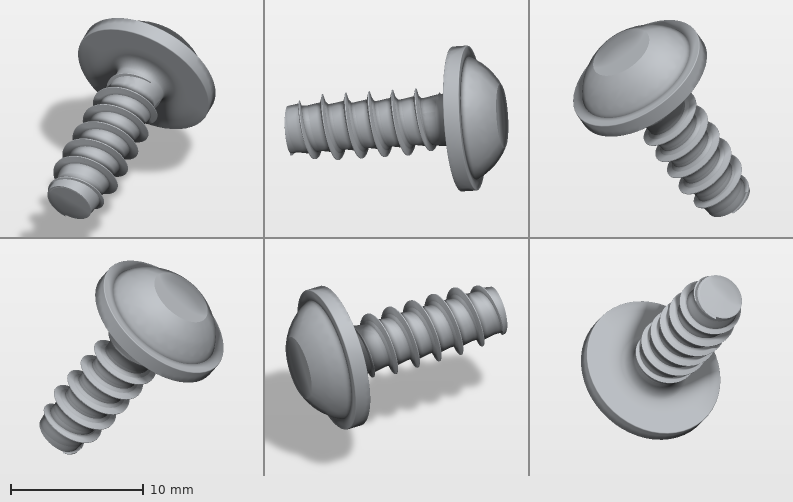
import cadquery as cq
import math


CYLINDER_ANGLE = 360.0

total_length = 16.5
flange_radius = 5.503
flange_bottom = 12.99
flange_top = 14.2
flange_edge_fillet = 0.07
dome_base_radius = 4.67
dome_top_radius = 2.45
dome_mid_radius = 3.76
dome_mid_height = 15.55
shank_radius = 1.98
shank_bottom = 11.75
shank_taper_length = 1.12
taper_sink = 0.05
neck_fillet = 0.7

core_radius = 1.77
tip_rim_radius = 1.7
tip_cone_height = 0.05
tip_chamfer_height = 0.02
core_bottom = tip_cone_height + tip_chamfer_height

pitch = 1.8
crest_radius = 2.52
crest_half_width = 0.03
thread_start = 2.7
full_turns = 4
runout_drop = 0.4
head_runout_turns = 1.1
tip_runout_turns = 1.3
tooth_sink = 0.66

head_foot = 0.38
head_kink = 0.18
head_kink_radius = 2.01
tip_foot = 0.21
tip_foot_radius = 1.93

ramp_length = 1.17
ramp_peak_radius = 1.96
ramp_sink = 0.07
ramp_turns_below = 2
ramp_turns_above = 2


def make_head_and_core():
    neck_outer_radius = shank_radius + neck_fillet
    arc_offset = neck_fillet * (1 - math.sqrt(0.5))
    profile = (
        cq.Workplane("XZ")
        .moveTo(0, 0)
        .lineTo(tip_rim_radius, tip_cone_height)
        .lineTo(core_radius, core_bottom)
        .lineTo(core_radius, shank_bottom)
        .lineTo(shank_radius, shank_bottom)
        .lineTo(shank_radius, flange_bottom - neck_fillet)
        .threePointArc(
            (shank_radius + arc_offset, flange_bottom - arc_offset),
            (neck_outer_radius, flange_bottom),
        )
        .lineTo(flange_radius, flange_bottom)
        .lineTo(flange_radius, flange_top)
        .lineTo(dome_base_radius, flange_top)
        .threePointArc((dome_mid_radius, dome_mid_height), (dome_top_radius, total_length))
        .lineTo(0, total_length)
        .close()
    )
    body = profile.revolve(360, (0, 0, 0), (0, 1, 0))
    flange_rim = cq.selectors.RadiusNthSelector(-1)
    return body.edges(flange_rim).fillet(flange_edge_fillet)


def make_shank_taper():
    """Cone that runs from the shank down into the core."""
    taper_slope = (shank_radius - core_radius) / shank_taper_length
    buried_radius = core_radius - taper_sink
    buried_depth = shank_taper_length + taper_sink / taper_slope
    return (
        cq.Workplane("XZ")
        .polyline([(0, shank_bottom), (shank_radius, shank_bottom),
                   (buried_radius, shank_bottom - buried_depth), (0, shank_bottom - buried_depth)])
        .close()
        .revolve(360, (0, 0, 0), (0, 1, 0))
    )


def sweep_helix(points, turns, path_radius, cone_angle=CYLINDER_ANGLE):
    """Sweep a (radius, height) outline up a right-hand helix that starts on +X at height 0."""
    slant = math.cos(math.radians(cone_angle))
    path = cq.Wire.makeHelix(pitch / slant, turns * pitch / slant, path_radius, angle=cone_angle)
    outline = cq.Workplane("XZ").polyline(points).close()
    return outline.sweep(cq.Workplane(obj=path), isFrenet=True)


def tooth_outline(drop=0.0, head_side=1):
    """Tooth section lowered by drop; head_side is -1 to turn it upside down."""
    root = core_radius - tooth_sink
    fillet_slope = (head_foot - head_kink) / (head_kink_radius - core_radius)
    points = [
        (root, head_foot + fillet_slope * tooth_sink),
        (head_kink_radius, head_kink),
        (crest_radius, crest_half_width),
        (crest_radius, -crest_half_width),
        (tip_foot_radius, -tip_foot),
        (root, -tip_foot),
    ]
    return [(radius - drop, head_side * height) for radius, height in points]


def make_runout(turns, head_side):
    """Conical end of the tooth, growing from its sunken end up to full depth."""
    drop = runout_drop * turns
    cone_angle = math.degrees(math.atan(runout_drop / pitch))
    tooth = sweep_helix(tooth_outline(drop, head_side), turns, crest_radius - drop, cone_angle)
    return tooth.translate((0, 0, -turns * pitch)).rotate((0, 0, 0), (0, 0, 1), -360 * turns)


def make_thread():
    tooth = sweep_helix(tooth_outline(), full_turns, crest_radius)
    tip_runout = make_runout(tip_runout_turns, 1)
    head_runout = (
        make_runout(head_runout_turns, -1)
        .rotate((0, 0, 0), (1, 0, 0), 180)
        .translate((0, 0, full_turns * pitch))
    )
    return [tooth, tip_runout, head_runout]


def make_ramp():
    ramp_turns = ramp_turns_below + full_turns + ramp_turns_above
    root = core_radius - ramp_sink
    ramp_slope = ramp_length / (ramp_peak_radius - core_radius)
    points = [
        (root, 0),
        (ramp_peak_radius, 0),
        (root, -ramp_length - ramp_slope * ramp_sink),
    ]
    ramp = sweep_helix(points, ramp_turns, core_radius)
    return ramp.translate((0, 0, -ramp_turns_below * pitch))


def place_thread(piece):
    """Turn the start of the thread to the +Z side of the part and lift it to its height."""
    return piece.rotate((0, 0, 0), (0, 0, 1), -90).translate((0, 0, thread_start))


thread_zone = (
    cq.Workplane("XY").workplane(offset=core_bottom)
    .circle(flange_radius).extrude(flange_bottom - neck_fillet - core_bottom)
)
ramp_zone = (
    cq.Workplane("XY").workplane(offset=core_bottom)
    .circle(flange_radius).extrude(shank_bottom - core_bottom)
)

screw = make_head_and_core()
screw = screw.union(place_thread(make_ramp()).intersect(ramp_zone))
screw = screw.union(make_shank_taper())
for piece in make_thread():
    screw = screw.union(place_thread(piece).intersect(thread_zone))

result = screw.rotate((0, 0, 0), (1, 0, 0), -90)